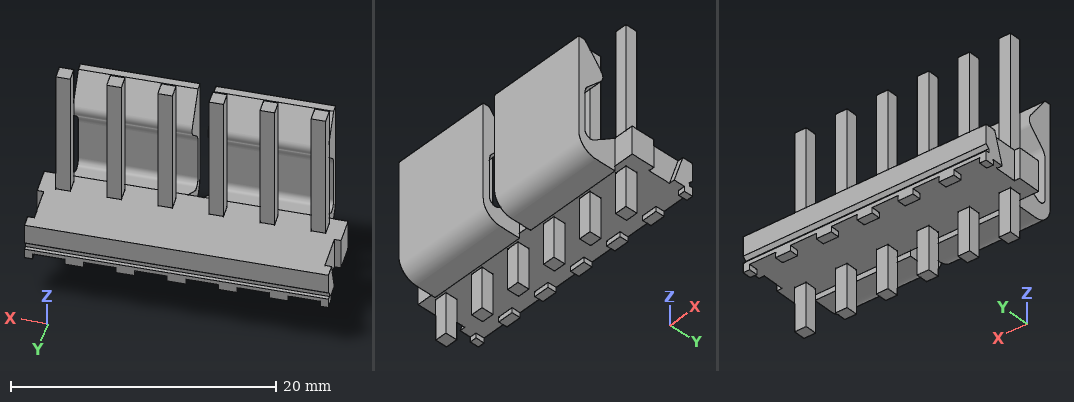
import cadquery as cq


PIN_COUNT = 6
PIN_PITCH = 3.97
PIN_SIDE = 1.13
PIN_TOP = 14.72
PIN_BOTTOM = -3.57
PIN_SPAN = (PIN_COUNT - 1) * PIN_PITCH
PIN_XS = [-PIN_SPAN / 2 + i * PIN_PITCH for i in range(PIN_COUNT)]

LENGTH = 23.62
BACK_Y = 5.1
BASE_FRONT_Y = -1.15
BASE_TOP = 3.3
UNDERSIDE = 0.5

FOOT_DEPTH = 0.85
END_FOOT_WIDTH = 0.64
FOOT_NOTCH_WIDTH = LENGTH - PIN_SPAN - 2 * END_FOOT_WIDTH

GROOVE_DEPTH = 0.3
GROOVE_BOTTOM = 0.87
GROOVE_FLOOR_TOP = 1.2
GROOVE_TOP = 1.5

RECESS_DEPTH = 0.52
RECESS_FRONT_Y = 1.09
RECESS_BACK_Y_TOP = 4.09
RECESS_BACK_Y_BOTTOM = 3.2

ARM_FRONT_Y = -4.91
ARM_THICKNESS = 0.64
ARM_INNER_Y = ARM_FRONT_Y + ARM_THICKNESS
ARM_TOP = 11.34
ARM_GAP = 1.23
ARM_WIDTH = (PIN_SPAN - ARM_GAP) / 2
ARM_X = (ARM_WIDTH + ARM_GAP) / 2
ARM_HEEL_RADIUS = 1.8
CROOK_Z = 1.13
CROOK_RADIUS = 0.61
HOOK_TIP_Y = -2.15
HOOK_TIP_Z = 8.57
HOOK_TIP_RADIUS = 0.75
HOOK_ROOT_Z = 6.47
HOOK_ROOT_RADIUS = 1.23


def extrude_along_x(outline, width, center_x):
    """Extrude a closed (Y, Z) outline along X, centred on center_x."""
    return (
        cq.Workplane("YZ", origin=(center_x, 0, 0))
        .polyline(outline)
        .close()
        .extrude(width / 2, both=True)
    )


def round_edge(body, y, z, radius):
    """Fillet the X-parallel edge at (y, z)."""
    reach = 0.02
    at_edge = cq.selectors.BoxSelector(
        (-LENGTH, y - reach, z - reach),
        (LENGTH, y + reach, z + reach),
    )
    return body.edges("|X").edges(at_edge).fillet(radius)


def make_base():
    foot_front_y = BACK_Y - FOOT_DEPTH
    groove_y = BACK_Y - GROOVE_DEPTH
    outline = [
        (BASE_FRONT_Y, UNDERSIDE),
        (foot_front_y, UNDERSIDE),
        (foot_front_y, 0),
        (BACK_Y, 0),
        (BACK_Y, GROOVE_BOTTOM),
        (groove_y, GROOVE_BOTTOM),
        (groove_y, GROOVE_FLOOR_TOP),
        (BACK_Y, GROOVE_TOP),
        (BACK_Y, BASE_TOP),
        (BASE_FRONT_Y, BASE_TOP),
    ]
    return extrude_along_x(outline, LENGTH, 0)


def make_foot_notch(x):
    return cq.Workplane("XY").box(
        FOOT_NOTCH_WIDTH, FOOT_DEPTH, UNDERSIDE, centered=(True, True, False)
    ).translate((x, BACK_Y - FOOT_DEPTH / 2, 0))


def make_end_recess(side):
    outline = [
        (RECESS_FRONT_Y, UNDERSIDE),
        (RECESS_BACK_Y_BOTTOM, UNDERSIDE),
        (RECESS_BACK_Y_TOP, BASE_TOP),
        (RECESS_FRONT_Y, BASE_TOP),
    ]
    return extrude_along_x(outline, RECESS_DEPTH, side * (LENGTH - RECESS_DEPTH) / 2)


def make_latch_arm(x):
    outline = [
        (BASE_FRONT_Y, 0),
        (BASE_FRONT_Y, BASE_TOP),
        (ARM_INNER_Y, CROOK_Z),
        (ARM_INNER_Y, HOOK_ROOT_Z),
        (HOOK_TIP_Y, HOOK_TIP_Z),
        (ARM_INNER_Y, ARM_TOP),
        (ARM_FRONT_Y, ARM_TOP),
        (ARM_FRONT_Y, 0),
    ]
    arm = extrude_along_x(outline, ARM_WIDTH, x)
    arm = round_edge(arm, ARM_FRONT_Y, 0, ARM_HEEL_RADIUS)
    arm = round_edge(arm, ARM_INNER_Y, CROOK_Z, CROOK_RADIUS)
    arm = round_edge(arm, ARM_INNER_Y, HOOK_ROOT_Z, HOOK_ROOT_RADIUS)
    return round_edge(arm, HOOK_TIP_Y, HOOK_TIP_Z, HOOK_TIP_RADIUS)


def make_pin(x):
    return cq.Workplane("XY").box(
        PIN_SIDE, PIN_SIDE, PIN_TOP - PIN_BOTTOM, centered=(True, True, False)
    ).translate((x, 0, PIN_BOTTOM))


def make_housing(pins):
    housing = make_base()
    for side in (-1, 1):
        housing = housing.cut(make_end_recess(side))
        housing = housing.union(make_latch_arm(side * ARM_X))
    for x in PIN_XS:
        housing = housing.cut(make_foot_notch(x))
    for pin in pins:
        housing = housing.cut(pin)
    return housing


pins = [make_pin(x) for x in PIN_XS]
housing = make_housing(pins)

result = cq.Compound.makeCompound([housing.val(), *[pin.val() for pin in pins]])